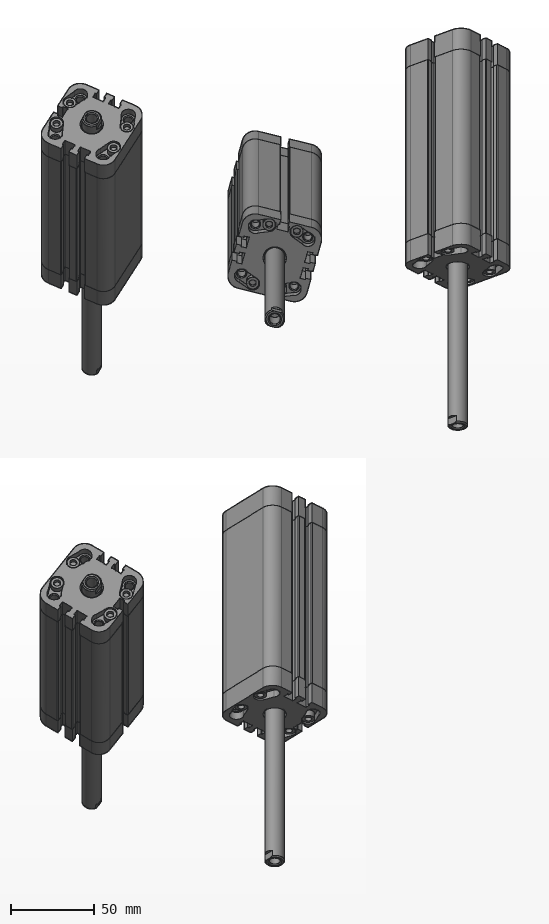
import cadquery as cq
import math


side = 49.0
half_side = side / 2
corner_radius = 8.0
housing_length = 144.0
cap_height = 14.0
barrel_length = housing_length - 2 * cap_height

slot_opening = 5.2
slot_inner_width = 7.0
slot_lip = 3.2
slot_depth = 6.4
slot_offset = 5.3
barrel_slot_chamfer = 0.55

mount_offset = 16.25
screw_x = 19.35
screw_y = 8.6
counterbore_diameter = 8.57
channel_width = 8.2
pocket_depth = 5.0
mount_hole_diameter = 4.92
mount_countersink_diameter = 6.2
mount_countersink_depth = (mount_countersink_diameter - mount_hole_diameter) / 2
screw_head_diameter = 7.5
screw_head_recess = 1.0
socket_diameter = 4.2
socket_depth = 2.5

rod_diameter = 12.0
rod_radius = rod_diameter / 2
rod_projection = 6.5
stroke = 100.0
rod_top = housing_length + rod_projection
rod_bottom = -(rod_projection + stroke)
rod_middle = (rod_top + rod_bottom) / 2
rod_end_chamfer = 0.8
flat_to_axis = 5.0
flat_length = 4.5
flat_runout = 0.5
rod_thread_diameter = 6.65
rod_thread_depth = 12.0
rod_thread_chamfer = 0.7

recess_outer_diameter = 14.0
recess_inner_diameter = 12.54
recess_depth = 1.5


def slot_cutter(length, chamfer):
    """T-slot opening on the +Y side at X = 0, with optional chamfers along its mouth."""
    lip_level = half_side - slot_lip
    floor_level = half_side - slot_depth
    mouth = cq.Workplane("XY").rect(slot_opening, 2 * slot_depth).extrude(length)
    mouth = mouth.translate((0, half_side, 0))
    inner_height = lip_level - floor_level
    inner = cq.Workplane("XY").rect(slot_inner_width, inner_height).extrude(length)
    inner = inner.translate((0, (lip_level + floor_level) / 2, 0))
    cutter = mouth.union(inner)
    if chamfer > 0:
        half_mouth = slot_opening / 2
        bevel = (
            cq.Workplane("XY")
            .moveTo(-half_mouth - chamfer, half_side)
            .lineTo(half_mouth + chamfer, half_side)
            .lineTo(half_mouth, half_side - chamfer)
            .lineTo(-half_mouth, half_side - chamfer)
            .close()
            .extrude(length)
        )
        cutter = cutter.union(bevel)
    return cutter


def slotted_block(length, slot_chamfer):
    """Rounded square section with its five T-slots and the rod hole, standing on Z = 0."""
    block = cq.Workplane("XY").rect(side, side).extrude(length)
    block = block.edges("|Z").fillet(corner_radius)
    slot = slot_cutter(length, slot_chamfer)
    for x in (-slot_offset, slot_offset):
        shifted_slot = slot.translate((x, 0, 0))
        block = block.cut(shifted_slot)
        block = block.cut(shifted_slot.mirror("XZ"))
    block = block.cut(slot.rotate((0, 0, 0), (0, 0, 1), 90))
    return block.cut(cq.Workplane("XY").circle(rod_radius).extrude(length))


def cylinder(diameter, bottom, top, x=0.0, y=0.0):
    """Upright cylinder between two Z levels."""
    disc = cq.Workplane("XY").workplane(offset=bottom).center(x, y).circle(diameter / 2)
    return disc.extrude(top - bottom)


def cone(bottom_diameter, top_diameter, bottom, top, x=0.0, y=0.0):
    """Upright truncated cone between two Z levels."""
    solid = cq.Solid.makeCone(
        bottom_diameter / 2, top_diameter / 2, top - bottom, cq.Vector(x, y, bottom)
    )
    return cq.Workplane(obj=solid)


def corner_pocket():
    """Cutter for the corner at +X +Y of a cap whose outer face is at Z = cap_height."""
    floor = cap_height - pocket_depth
    head_top = cap_height - screw_head_recess
    step_x = screw_x - mount_offset
    step_y = screw_y - mount_offset
    channel_angle = math.degrees(math.atan2(step_y, step_x))
    middle = ((screw_x + mount_offset) / 2, (screw_y + mount_offset) / 2)
    distance = math.hypot(step_x, step_y)
    channel = (
        cq.Workplane("XY")
        .slot2D(distance + channel_width, channel_width, channel_angle)
        .extrude(pocket_depth)
        .translate((*middle, floor))
    )
    counterbore = cylinder(counterbore_diameter, floor, cap_height, mount_offset, mount_offset)
    head = cylinder(screw_head_diameter, floor, head_top, screw_x, screw_y)
    socket = cylinder(socket_diameter, head_top - socket_depth, head_top, screw_x, screw_y)
    hole = cylinder(mount_hole_diameter, 0, floor, mount_offset, mount_offset)
    countersink = cone(
        mount_hole_diameter,
        mount_countersink_diameter,
        floor - mount_countersink_depth,
        floor,
        mount_offset,
        mount_offset,
    )
    return channel.union(counterbore).cut(head).union(socket).union(hole).union(countersink)


def end_cap():
    """Cap with its outer face at Z = cap_height."""
    cap = slotted_block(cap_height, 0)
    pocket = corner_pocket()
    for right_pocket in (pocket, pocket.mirror("XZ")):
        cap = cap.cut(right_pocket)
        cap = cap.cut(right_pocket.mirror("YZ"))
    recess = cone(recess_inner_diameter, recess_outer_diameter, cap_height - recess_depth, cap_height)
    return cap.cut(recess)


def rod_end_cutter():
    """Cutter for the flats and the threaded hole at the upper rod end."""
    hole = cylinder(rod_thread_diameter, rod_top - rod_thread_depth, rod_top)
    mouth_diameter = rod_thread_diameter + 2 * rod_thread_chamfer
    mouth = cone(rod_thread_diameter, mouth_diameter, rod_top - rod_thread_chamfer, rod_top)
    flat = (
        cq.Workplane("XZ")
        .moveTo(flat_to_axis, rod_top)
        .lineTo(flat_to_axis, rod_top - flat_length)
        .lineTo(rod_radius, rod_top - flat_length - flat_runout)
        .lineTo(rod_radius, rod_top)
        .close()
        .extrude(rod_radius, both=True)
    )
    return hole.union(mouth).union(flat).union(flat.mirror("YZ"))


def piston_rod():
    """Through rod with the same flats and threaded hole at both ends."""
    rod = cylinder(rod_diameter, rod_bottom, rod_top)
    rod = rod.faces("<Z or >Z").chamfer(rod_end_chamfer)
    upper = rod_end_cutter()
    lower = upper.mirror("XY", (0, 0, rod_middle))
    return rod.cut(upper).cut(lower)


barrel = slotted_block(barrel_length, barrel_slot_chamfer).translate((0, 0, cap_height))
cap = end_cap()
upper_cap = cap.translate((0, 0, housing_length - cap_height))
lower_cap = cap.mirror("XY", (0, 0, cap_height / 2))
rod = piston_rod()

result = cq.Compound.makeCompound([barrel.val(), upper_cap.val(), lower_cap.val(), rod.val()])